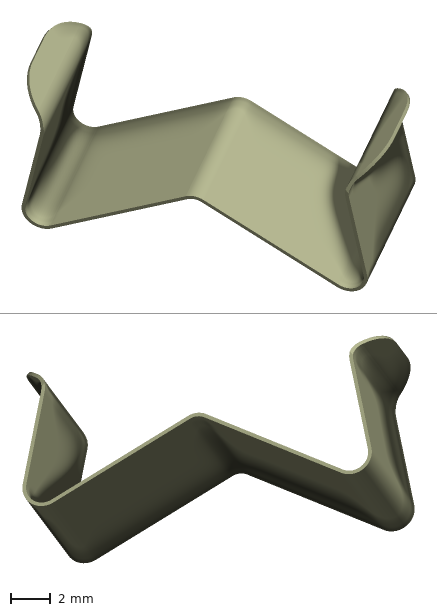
import cadquery as cq
import math

length = 19.13
width = 8.0
ridge_height = 4.17
foot_half_span = 9.09
thickness = 0.2

foot_radius = 1.09
ridge_radius = 1.0
neck_radius = 1.19

leg_length = 4.97
leg_tilt = 11.0
tab_tilt = 39.0
tab_corner_radius = 3.0

foot_center = cq.Vector(foot_radius - foot_half_span, 0, foot_radius)
ridge_center = cq.Vector(0, 0, ridge_height - ridge_radius)


def direction(angle):
    """Unit vector in the XZ plane, in degrees from +X towards +Z."""
    return cq.Vector(math.cos(math.radians(angle)), 0, math.sin(math.radians(angle)))


leg_direction = direction(90 - leg_tilt)
leg_normal = direction(180 - leg_tilt)
tab_direction = direction(180 - tab_tilt)
tab_normal = direction(90 - tab_tilt)

neck_center = (
    foot_center
    + leg_normal * (foot_radius + neck_radius - thickness)
    + leg_direction * leg_length
)

center_line = ridge_center - foot_center
center_angle = math.degrees(math.atan2(center_line.z, center_line.x))
ramp_tilt = center_angle + math.degrees(
    math.asin((foot_radius + ridge_radius - thickness) / center_line.Length)
)

tab_root = neck_center + tab_normal * neck_radius
tab_under_root = tab_root - tab_normal * thickness
tab_length = (-length / 2 - tab_under_root.x) / tab_direction.x
tab_tip = tab_root + tab_direction * tab_length


def bend(center, radius, start_angle, end_angle):
    """Start, middle and end points of a bend arc."""
    angles = (start_angle, (start_angle + end_angle) / 2, end_angle)
    return [center + direction(angle) * radius for angle in angles]


def strip_face(ridge_r, foot_r, neck_r):
    """Bends of one strip face, ordered from the ridge to the tab."""
    return [
        bend(ridge_center, ridge_r, 90, 90 + ramp_tilt),
        bend(foot_center, foot_r, 270 + ramp_tilt, 180 - leg_tilt),
        bend(neck_center, neck_r, -leg_tilt, 90 - tab_tilt),
    ]


def make_half_strip():
    """Full-width bent strip from the ridge to the left tab tip."""
    upper = strip_face(ridge_radius, foot_radius - thickness, neck_radius)
    lower = strip_face(ridge_radius - thickness, foot_radius, neck_radius - thickness)
    tip_under = tab_tip - tab_normal * thickness
    returning = [arc[::-1] for arc in reversed(lower)]
    outline = cq.Workplane("XZ").moveTo(lower[0][0].x, lower[0][0].z)
    for arcs, tip_points in ((upper, [tab_tip, tip_under]), (returning, [])):
        for start, middle, end in arcs:
            outline = outline.lineTo(start.x, start.z)
            outline = outline.threePointArc((middle.x, middle.z), (end.x, end.z))
        for point in tip_points:
            outline = outline.lineTo(point.x, point.z)
    return outline.close().extrude(width / 2, both=True)


def make_corner_cutter():
    """Waste outside the two rounded tab corners, cut square to the tab."""
    tab_plane = cq.Plane(origin=tab_tip, xDir=-tab_direction, normal=tab_normal)
    half_width = width / 2
    arc_center_y = half_width - tab_corner_radius
    sweep = math.acos(1 - tab_length / tab_corner_radius)

    def arc_point(angle):
        return (
            tab_corner_radius * (1 - math.cos(angle)),
            arc_center_y + tab_corner_radius * math.sin(angle),
        )

    arc_end = arc_point(sweep)
    taper_end_x = arc_end[0] + (half_width - arc_end[1]) * math.tan(sweep)
    corner = (
        cq.Workplane(tab_plane)
        .moveTo(0, arc_center_y)
        .threePointArc(arc_point(sweep / 2), arc_end)
        .lineTo(taper_end_x, half_width)
        .lineTo(0, half_width)
        .close()
        .extrude(neck_radius, both=True)
    )
    return corner.union(corner.mirror("XZ"))


half_clip = make_half_strip().cut(make_corner_cutter())
result = half_clip.union(half_clip.mirror("YZ")).clean()